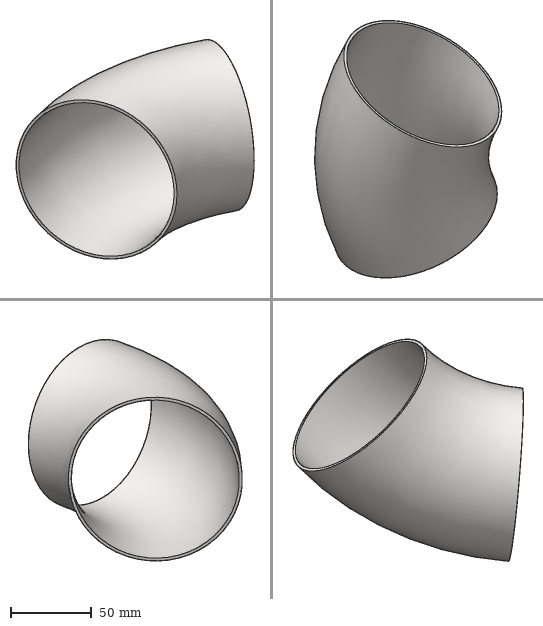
import cadquery as cq
import math

bend_angle = 45.0
elbow_length = 139.0
outer_diameter = 108.0
wall = 2.0

outer_radius = outer_diameter / 2
inner_radius = outer_radius - wall
bend_radius = elbow_length / math.sin(math.radians(bend_angle)) - outer_radius

pipe_section = cq.Workplane("XZ").circle(outer_radius).circle(inner_radius)
result = pipe_section.revolve(bend_angle, (bend_radius, 0, 0), (bend_radius, -1, 0))